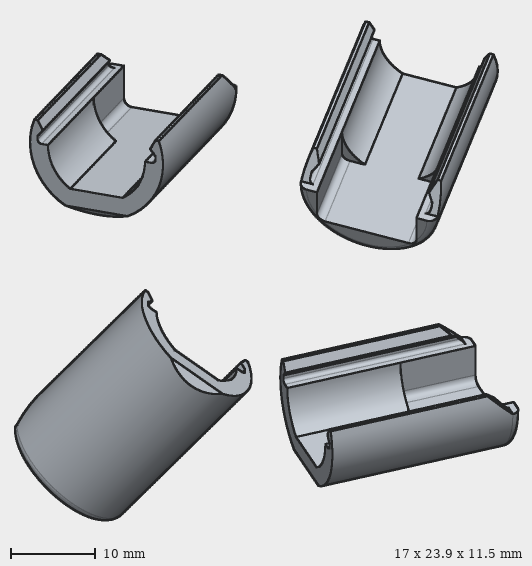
import cadquery as cq
import math

length = 23.9
width = 17.0
height = 11.5
outer_radius = width / 2
top_z = height - outer_radius
edge_size = 1.0

bore_radius = 6.2
floor_z = -5.2
rear_pocket_length = 9.54

groove_half_width = 7.5
groove_fillet = 0.5
groove_top_z = 0.95
lip_tip_half_width = 6.84
lip_tip_z = 1.8


def make_shell():
    """Cylinder with a rounded rear rim, cut flat at the top of the lips."""
    cylinder = cq.Workplane("XZ").circle(outer_radius).extrude(-length)
    rounded = cylinder.faces(">Y").edges().fillet(edge_size)
    above_lips = cq.Workplane("XY").workplane(offset=top_z).rect(
        width, 2 * length).extrude(outer_radius)
    return rounded.cut(above_lips)


def make_bore():
    """Round lower cavity with a flat floor."""
    floor_half_width = math.sqrt(bore_radius**2 - floor_z**2)
    bend_angle = math.atan2(floor_z, floor_half_width) / 2
    bend_x = bore_radius * math.cos(bend_angle)
    bend_z = bore_radius * math.sin(bend_angle)
    return (
        cq.Workplane("XZ")
        .moveTo(-bore_radius, 0)
        .threePointArc((-bend_x, bend_z), (-floor_half_width, floor_z))
        .lineTo(floor_half_width, floor_z)
        .threePointArc((bend_x, bend_z), (bore_radius, 0))
        .close()
        .extrude(-length)
    )


def make_rear_pocket():
    """Straight-walled cavity at the rear, filleted along the floor."""
    return (
        cq.Workplane("XY")
        .box(2 * bore_radius, rear_pocket_length, -floor_z, centered=(True, False, False))
        .translate((0, length - rear_pocket_length, floor_z))
        .edges("|Y and <Z")
        .fillet(edge_size)
    )


def make_lip_opening():
    """Opening between the lips, with a snap groove above each ledge."""
    right_side = [
        (groove_half_width, 0),
        (groove_half_width, groove_top_z),
        (lip_tip_half_width, lip_tip_z),
        (groove_half_width, top_z),
    ]
    left_side = [(-x, z) for x, z in reversed(right_side)]
    opening = cq.Workplane("XZ").polyline(right_side + left_side).close().extrude(-length)
    return opening.edges("|Y and <Z").fillet(groove_fillet)


def make_side_cut(points):
    """Full-width cutter from an outline in the YZ plane."""
    return cq.Workplane("YZ").polyline(points).close().extrude(outer_radius, both=True)


slope_start_y = length - edge_size
lip_end_cut = make_side_cut([
    (length, 0), (slope_start_y, 0), (slope_start_y - top_z, top_z), (length, top_z),
])
front_chamfer_cut = make_side_cut([
    (0, -outer_radius), (edge_size, -outer_radius), (0, edge_size - outer_radius),
])

result = (
    make_shell()
    .cut(make_bore())
    .cut(make_rear_pocket())
    .cut(make_lip_opening())
    .cut(lip_end_cut)
    .cut(front_chamfer_cut)
)